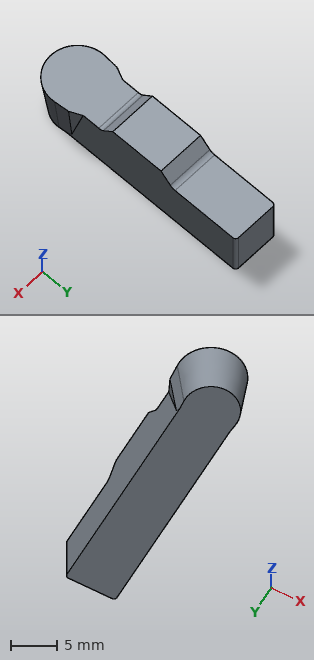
import cadquery as cq
import math

overall_length = 30.49
overall_height = 8.08
bar_width = 6.2
bar_height = 6.4

head_radius = 3.99
head_draft = 7.0
flank_angle = 5.0
flank_end_y = 2.27
shoulder_angle = 25.0

ridge_front_y = 8.19
ridge_back_y = 15.37
ridge_slope = 45.0
ridge_root_radius = 1.0

back_corner_radius = 0.4

half_width = bar_width / 2
bar_back_y = overall_length - head_radius
ridge_run = (overall_height - bar_height) / math.tan(math.radians(ridge_slope))


def make_bar():
    """Straight bar with its sloped ridge, starting inside the head."""
    ridge_foot_front = ridge_front_y - ridge_run
    ridge_foot_back = ridge_back_y + ridge_run
    side_outline = [
        (0, 0),
        (bar_back_y, 0),
        (bar_back_y, bar_height),
        (ridge_foot_back, bar_height),
        (ridge_back_y, overall_height),
        (ridge_front_y, overall_height),
        (ridge_foot_front, bar_height),
        (0, bar_height),
    ]
    bar = cq.Workplane("YZ").polyline(side_outline).close().extrude(half_width, both=True)
    for foot_y in (ridge_foot_front, ridge_foot_back):
        foot_edge = cq.selectors.NearestToPointSelector((0, foot_y, bar_height))
        bar = bar.edges(foot_edge).fillet(ridge_root_radius)
    return bar.faces(">Y").edges("|Z").fillet(back_corner_radius)


def make_head():
    """Round nose with straight flanks and shoulders, drafted on all sides."""
    flank = math.radians(flank_angle)
    shoulder = math.radians(shoulder_angle)
    tangent_x = head_radius * math.cos(flank)
    tangent_y = head_radius * math.sin(flank)
    corner_x = tangent_x - (flank_end_y - tangent_y) * math.tan(flank)
    apex_y = flank_end_y + corner_x / math.tan(shoulder)
    return (
        cq.Workplane("XY")
        .workplane(offset=bar_height)
        .moveTo(0, apex_y)
        .lineTo(-corner_x, flank_end_y)
        .lineTo(-tangent_x, tangent_y)
        .threePointArc((0, -head_radius), (tangent_x, tangent_y))
        .lineTo(corner_x, flank_end_y)
        .close()
        .extrude(-bar_height, taper=head_draft)
    )


result = make_bar().union(make_head())